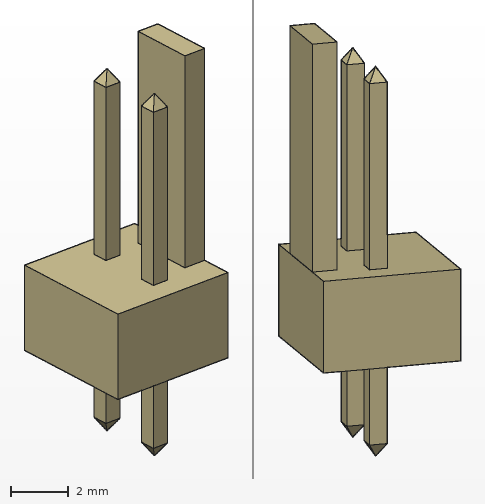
import cadquery as cq

total_height = 15.0
housing_width = 5.0
housing_height = 3.3
housing_back = 2.3
pin_below = 3.51

tab_width = 2.5
tab_thickness = 0.9
tab_height = total_height - pin_below - housing_height

pin_count = 2
pin_pitch = 2.54
pin_side = 0.65
pin_above = 7.2
tip_height = 0.51


def make_block(size_x, size_y, height, center_y, base_z):
    """Rectangular block centred on X = 0, standing on base_z."""
    return cq.Workplane("XY", origin=(0, center_y, base_z)).rect(size_x, size_y).extrude(height)


def make_housing():
    """Block that carries the pins and the tab."""
    center_y = housing_back - housing_width / 2
    return make_block(housing_width, housing_width, housing_height, center_y, 0)


def make_tab():
    """Locking tab standing on the housing, flush with its back face."""
    center_y = housing_back - tab_thickness / 2
    return make_block(tab_width, tab_thickness, tab_height, center_y, housing_height)


def make_shaft(center_x, base_z, length):
    """Square shaft of a pin, rising from base_z."""
    return make_block(pin_side, pin_side, length, 0, base_z).translate((center_x, 0, 0))


def make_tip(center_x, base_z, direction):
    """Square pyramid pointing up (direction 1) or down (direction -1)."""
    half = pin_side / 2
    apex = cq.Vector(center_x, 0, base_z + direction * tip_height)
    corners = [
        cq.Vector(center_x + x, y, base_z)
        for x, y in ((-half, -half), (half, -half), (half, half), (-half, half))
    ]
    loops = [corners]
    for index, corner in enumerate(corners):
        next_corner = corners[(index + 1) % len(corners)]
        loops.append([corner, next_corner, apex])
    faces = [cq.Face.makeFromWires(cq.Wire.makePolygon(loop, close=True)) for loop in loops]
    return cq.Workplane(cq.Solid.makeSolid(cq.Shell.makeShell(faces)).fix())


housing = make_housing()
tab = make_tab()

upper_length = pin_above - tip_height
lower_length = pin_below - tip_height
upper_shafts = []
upper_tips = []
lower_shafts = []
lower_tips = []
for pin_index in range(pin_count):
    pin_x = (pin_index - (pin_count - 1) / 2) * pin_pitch
    upper_shafts.append(make_shaft(pin_x, housing_height, upper_length))
    upper_tips.append(make_tip(pin_x, housing_height + upper_length, 1))
    lower_shafts.append(make_shaft(pin_x, -lower_length, lower_length))
    lower_tips.append(make_tip(pin_x, -lower_length, -1))

bodies = [housing, tab, *upper_shafts, *upper_tips, *lower_shafts, *lower_tips]
result = cq.Compound.makeCompound([body.val() for body in bodies])